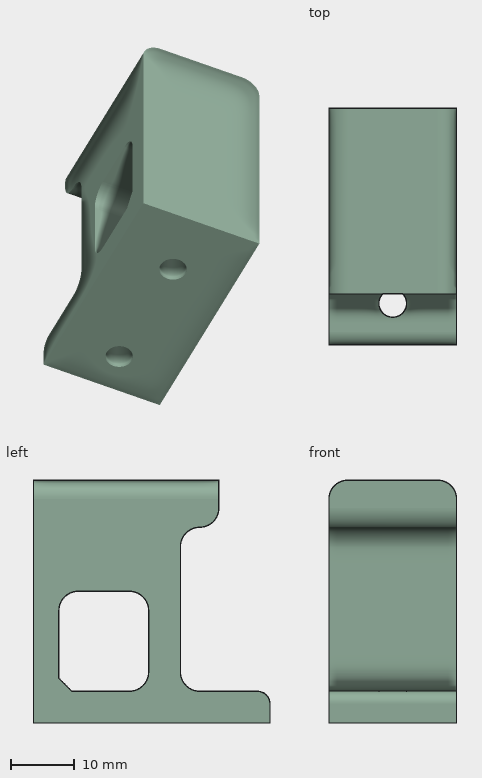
import cadquery as cq

width = 20.0
length = 37.0
height = 38.0

foot_thickness = 5.0
foot_nose_radius = 2.0
wall_front_y = 14.0
wall_fillet_radius = 3.0
hook_radius = 3.0
hook_front_y = wall_front_y - wall_fillet_radius - hook_radius
hook_underside_z = 30.6
top_edge_radius = 3.0

window_back_margin = 4.0
window_length = 14.0
window_height = 15.6
window_corner_radius = 3.0
window_chamfer = 2.0
window_back_y = length - window_back_margin
window_front_y = window_back_y - window_length

hole_diameter = 4.3
front_hole_y = 6.5
hole_spacing = 20.0


def make_body():
    """C-shaped side profile extruded across the full width, centred on X = 0."""
    hook_bend_y = hook_front_y + hook_radius
    return (
        cq.Workplane("YZ")
        .moveTo(0, 0)
        .lineTo(length, 0)
        .lineTo(length, height)
        .lineTo(hook_front_y, height)
        .lineTo(hook_front_y, hook_underside_z + hook_radius)
        .radiusArc((hook_bend_y, hook_underside_z), -hook_radius)
        .radiusArc((wall_front_y, hook_underside_z - wall_fillet_radius), wall_fillet_radius)
        .lineTo(wall_front_y, foot_thickness + wall_fillet_radius)
        .radiusArc((wall_front_y - wall_fillet_radius, foot_thickness), wall_fillet_radius)
        .lineTo(foot_nose_radius, foot_thickness)
        .radiusArc((0, foot_thickness - foot_nose_radius), -foot_nose_radius)
        .close()
        .extrude(width / 2, both=True)
    )


def round_top_edges(body):
    """Round the two long top edges that run along Y."""
    return body.faces(">Z").edges("|Y").fillet(top_edge_radius)


def make_window():
    """Window cutter: three rounded corners and a chamfer at the lower back."""
    block = cq.Workplane("XY").box(
        width, window_length, window_height, centered=(True, False, False)
    )
    block = block.translate((0, window_front_y, foot_thickness))
    block = block.faces("<Z").edges(">Y").chamfer(window_chamfer)
    block = block.faces(">Z").edges("|X").fillet(window_corner_radius)
    return block.faces("<Y").edges("<Z").fillet(window_corner_radius)


def make_foot_holes():
    """Cutters for the two screw holes, only as tall as the foot."""
    return (
        cq.Workplane("XY")
        .pushPoints([(0, front_hole_y), (0, front_hole_y + hole_spacing)])
        .circle(hole_diameter / 2)
        .extrude(foot_thickness)
    )


result = round_top_edges(make_body()).cut(make_window()).cut(make_foot_holes())